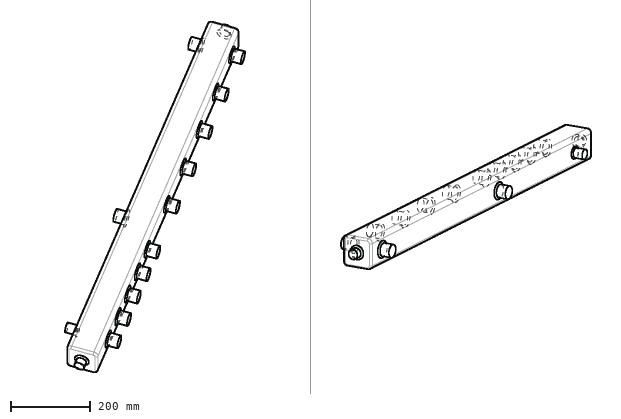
import cadquery as cq

beam_side = 81.0
beam_length = 1090.0
long_edge_radius = 11.0
end_edge_radius = 6.0

width_over_stubs = 140.0
length_over_stubs = 1130.0

large_pipe = 34.0
small_pipe = 26.0
wide_weld = 6.0
narrow_weld = 3.0
weld_height = 3.0
root_depth = 11.0

first_stub_y = 489.0
wide_group_span = 500.0
narrow_group_span = 300.0
group_gap = 150.0
stubs_per_group = 5
wide_pitch = wide_group_span / (stubs_per_group - 1)
narrow_pitch = narrow_group_span / (stubs_per_group - 1)

wide_group = [first_stub_y - i * wide_pitch for i in range(stubs_per_group)]
narrow_group_start = wide_group[-1] - group_gap
narrow_group = [narrow_group_start - i * narrow_pitch for i in range(stubs_per_group)]
gap_middle = (wide_group[-1] + narrow_group_start) / 2


def make_beam():
    """Solid beam along Y, centred on the origin."""
    return (
        cq.Workplane("XY")
        .box(beam_side, beam_length, beam_side)
        .edges("|Y")
        .fillet(long_edge_radius)
        .faces("<Y or >Y")
        .edges()
        .fillet(end_edge_radius)
    )


def make_stub(root, direction, length, diameter, weld_width):
    """Closed pipe standing on a beam face at root, with a conical weld collar."""
    root = cq.Vector(*root)
    direction = cq.Vector(*direction)
    radius = diameter / 2
    inner_end = root - direction * root_depth
    pipe = cq.Solid.makeCylinder(radius, length + root_depth, inner_end, direction)
    weld = cq.Solid.makeCone(radius + weld_width, radius, weld_height, root, direction)
    return cq.Workplane(pipe).union(cq.Workplane(weld))


def make_side_stub(side, y, diameter, weld_width):
    """Stub on the +X face (side = 1) or the -X face (side = -1)."""
    length = (width_over_stubs - beam_side) / 2
    return make_stub((side * beam_side / 2, y, 0), (side, 0, 0), length, diameter, weld_width)


def make_end_stub(side):
    """Stub in the middle of the +Y end (side = 1) or the -Y end (side = -1)."""
    length = (length_over_stubs - beam_length) / 2
    return make_stub((0, side * beam_length / 2, 0), (0, side, 0), length, small_pipe, wide_weld)


result = make_beam()

for y in wide_group + narrow_group:
    result = result.union(make_side_stub(1, y, large_pipe, wide_weld))

result = result.union(make_side_stub(-1, wide_group[0], large_pipe, wide_weld))
result = result.union(make_side_stub(-1, gap_middle, large_pipe, wide_weld))
result = result.union(make_side_stub(-1, narrow_group[-1], small_pipe, narrow_weld))

for side in (-1, 1):
    result = result.union(make_end_stub(side))